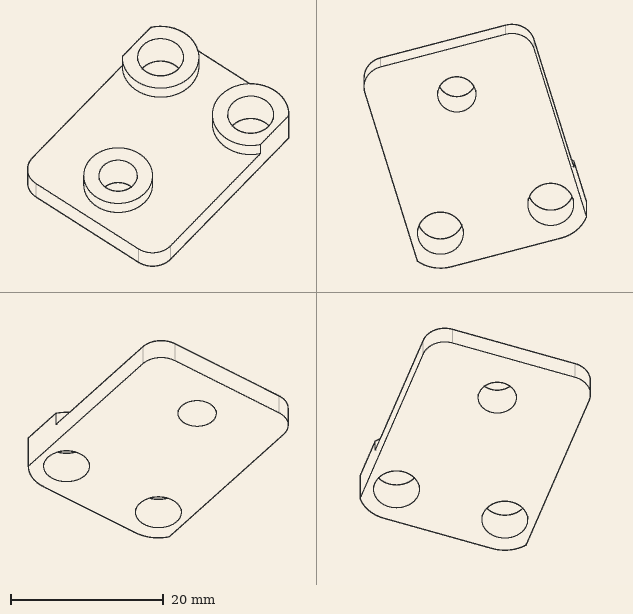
import cadquery as cq
import math

width = 23.0
length = 30.0
plate_thickness = 3.0
total_height = 5.0
front_corner_radius = 3.0

back_boss_radius = 5.0
back_hole_diameter = 6.0
back_boss_x = 7.5
back_boss_y = length / 2 - back_boss_radius

front_boss_diameter = 9.0
front_hole_diameter = 5.0
front_boss_edge_distance = 6.5
front_boss_y = front_boss_edge_distance - length / 2

half_width = width / 2
half_length = length / 2


def outline_prism(height):
    """Plate outline: rounded front corners, back corners following the back bosses."""
    side_offset = half_width - back_boss_x
    side_end_y = back_boss_y + math.sqrt(back_boss_radius**2 - side_offset**2)
    corner_x = half_width - front_corner_radius
    corner_y = front_corner_radius - half_length
    return (
        cq.Workplane("XY")
        .moveTo(-corner_x, -half_length)
        .lineTo(corner_x, -half_length)
        .radiusArc((half_width, corner_y), -front_corner_radius)
        .lineTo(half_width, side_end_y)
        .radiusArc((back_boss_x, half_length), -back_boss_radius)
        .lineTo(-back_boss_x, half_length)
        .radiusArc((-half_width, side_end_y), -back_boss_radius)
        .lineTo(-half_width, corner_y)
        .radiusArc((-corner_x, -half_length), -front_corner_radius)
        .close()
        .extrude(height)
    )


def cylinder(x, y, diameter):
    """Full-height cylinder, used for both bosses and through holes."""
    return cq.Workplane("XY").center(x, y).circle(diameter / 2).extrude(total_height)


bosses = [
    (-back_boss_x, back_boss_y, 2 * back_boss_radius, back_hole_diameter),
    (back_boss_x, back_boss_y, 2 * back_boss_radius, back_hole_diameter),
    (0, front_boss_y, front_boss_diameter, front_hole_diameter),
]

result = outline_prism(plate_thickness)
envelope = outline_prism(total_height)
for x, y, boss_diameter, hole_diameter in bosses:
    result = result.union(cylinder(x, y, boss_diameter).intersect(envelope))
    result = result.cut(cylinder(x, y, hole_diameter))